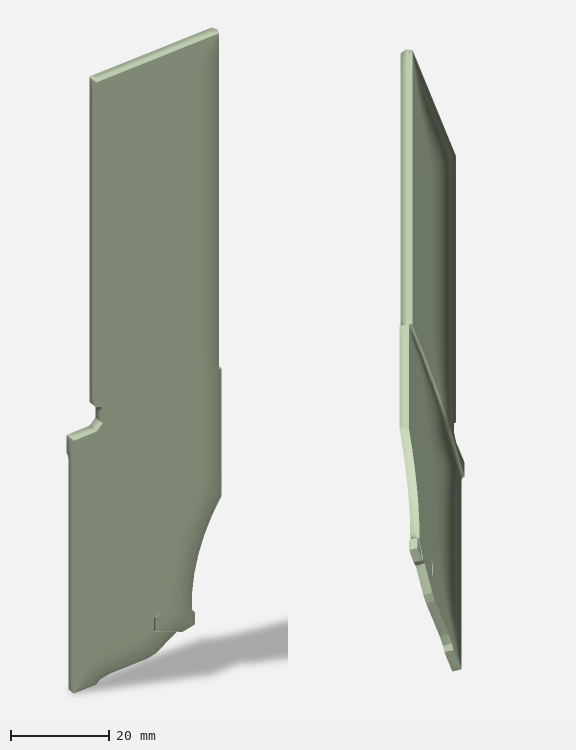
import cadquery as cq
import math

thickness = 2.5
height = 150.0
width = 36.6
shank_front = 5.5

relief_depth = 0.6
step_radius = 69.0
step_center_y = 32.2
step_center_z = -2.5
step_fillet = 0.9

ridge_x = 1.2
back_ridge = 0.6
back_ridge_bottom = 66.3
front_ridge = 0.08

notch_bottom = 63.0
notch_top = 69.0
notch_back = 7.2
notch_round = 1.5
notch_chamfer = 1.5

throat_top = 34.5
throat_mid = (30.6, 21.2)
seat_top = (29.2, 8.7)

toe_start = (25.6, 5.1)
toe_bend = (20.2, 1.8)
toe_flat_back = 18.3
toe_flat_front = 8.8
toe_flat_z = 1.4
foot_bend = (6.6, 0.9)
foot_back = 5.5

insert_top_end = (21.5, 11.7)
insert_end_y = 20.4
insert_end_top = 10.8
insert_end_bottom = 7.4
insert_bottom = (27.0, 4.5)
insert_tip_y = 30.0
insert_tip_top = 8.2
insert_tip_bottom = 5.1
end_clearance = 0.5
tip_relief = 0.2
tip_relief_bend = (27.5, 6.5)

OVERCUT = 1.5


def plate_blank():
    """Full-thickness plate with notch, curved throat and stepped toe."""
    diagonal = math.sqrt(0.5)
    notch_round_mid = (
        notch_back - notch_round * (1 - diagonal),
        notch_top - notch_round * (1 - diagonal),
    )
    return (
        cq.Workplane("YZ")
        .moveTo(0, 0)
        .lineTo(0, notch_bottom)
        .lineTo(notch_back - notch_chamfer, notch_bottom)
        .lineTo(notch_back, notch_bottom + notch_chamfer)
        .lineTo(notch_back, notch_top - notch_round)
        .threePointArc(notch_round_mid, (notch_back - notch_round, notch_top))
        .lineTo(shank_front, notch_top)
        .lineTo(shank_front, height)
        .lineTo(width, height)
        .lineTo(width, throat_top)
        .threePointArc(throat_mid, seat_top)
        .lineTo(*insert_bottom)
        .lineTo(*toe_start)
        .lineTo(*toe_bend)
        .lineTo(toe_flat_back, toe_flat_z)
        .lineTo(toe_flat_front, toe_flat_z)
        .lineTo(*foot_bend)
        .lineTo(foot_back, 0)
        .close()
        .extrude(thickness)
    )


def relief_cutter():
    """Disc that thins the cutting end and leaves a concave fillet along the step."""
    fillet_width = math.sqrt(step_fillet**2 - (step_fillet - relief_depth) ** 2)
    fillet_angle = math.acos(1 - relief_depth / step_fillet) / 2
    floor_radius = step_radius - fillet_width
    fillet_mid = (
        relief_depth - step_fillet * (1 - math.cos(fillet_angle)),
        floor_radius + step_fillet * math.sin(fillet_angle),
    )
    return (
        cq.Workplane("XY")
        .moveTo(-OVERCUT, 0)
        .lineTo(relief_depth, 0)
        .lineTo(relief_depth, floor_radius)
        .threePointArc(fillet_mid, (0, step_radius))
        .lineTo(-OVERCUT, step_radius)
        .close()
        .revolve(360, (0, 0, 0), (1, 0, 0))
        .translate((0, step_center_y, step_center_z))
    )


def edge_bevels(edge_y, ridge, bottom):
    """Two wedges that leave a ridge on a long edge; a positive ridge points to +Y."""
    wedges = cq.Workplane("XY")
    for face_x in (0, thickness):
        wedge = (
            cq.Workplane("XY", origin=(0, 0, bottom))
            .polyline([(face_x, edge_y), (face_x, edge_y - ridge), (ridge_x, edge_y)])
            .close()
            .extrude(height - bottom)
        )
        wedges = wedges.add(wedge)
    return wedges.combine()


def insert_prism(end_y):
    """Full-thickness insert shape whose inner end lies at end_y."""
    outline = [
        seat_top,
        insert_top_end,
        (end_y, insert_end_top),
        (end_y, insert_end_bottom),
        insert_bottom,
        (insert_tip_y, insert_tip_bottom),
        (insert_tip_y, insert_tip_top),
    ]
    return cq.Workplane("YZ").polyline(outline).close().extrude(thickness)


def make_blade():
    """Blade with ridged shank edges, thinned cutting end and insert pocket."""
    return (
        plate_blank()
        .cut(edge_bevels(width, back_ridge, back_ridge_bottom))
        .cut(edge_bevels(shank_front, -front_ridge, notch_top))
        .cut(relief_cutter())
        .cut(insert_prism(insert_end_y - end_clearance))
    )


def make_insert():
    """Cutting insert, flush with the thinned blade, with a relieved tip corner."""
    tip_corner = (
        cq.Workplane("YZ")
        .polyline([
            (insert_tip_y, insert_tip_top),
            tip_relief_bend,
            insert_bottom,
            (insert_tip_y, insert_tip_bottom),
        ])
        .close()
        .extrude(relief_depth + tip_relief)
    )
    return insert_prism(insert_end_y).cut(relief_cutter()).cut(tip_corner)


blade = make_blade()
cutting_insert = make_insert()

result = cq.Compound.makeCompound([blade.val(), cutting_insert.val()])